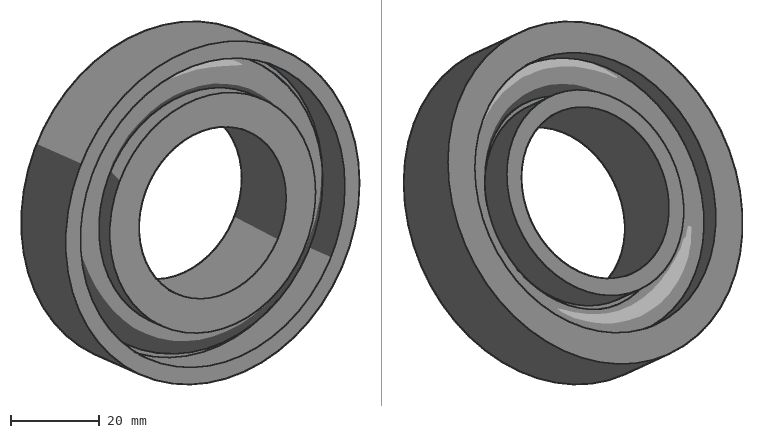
import cadquery as cq

width = 18.0
bore_diameter = 40.0
outer_diameter = 80.0

inner_low_shoulder_diameter = 48.0
inner_high_shoulder_diameter = 56.0
outer_high_shoulder_diameter = 65.4
outer_low_shoulder_diameter = 72.0
step_x = 0.0

ball_diameter = 10.0
pitch_diameter = (bore_diameter + outer_diameter) / 2

front_x = -width / 2
back_x = width / 2


def tube(inner_diameter, outside_diameter, start_x, end_x):
    """Coaxial hollow cylinder between two positions along X."""
    return (
        cq.Workplane("YZ", origin=(start_x, 0, 0))
        .circle(outside_diameter / 2)
        .circle(inner_diameter / 2)
        .extrude(end_x - start_x)
    )


def inner_ring():
    low_side = tube(bore_diameter, inner_low_shoulder_diameter, front_x, step_x)
    high_side = tube(bore_diameter, inner_high_shoulder_diameter, step_x, back_x)
    return low_side.union(high_side)


def outer_ring():
    high_side = tube(outer_high_shoulder_diameter, outer_diameter, front_x, step_x)
    low_side = tube(outer_low_shoulder_diameter, outer_diameter, step_x, back_x)
    return high_side.union(low_side)


def ball_torus():
    return (
        cq.Workplane("XY")
        .center(0, pitch_diameter / 2)
        .circle(ball_diameter / 2)
        .revolve(360, (0, -pitch_diameter / 2), (1, -pitch_diameter / 2))
    )


result = inner_ring().union(outer_ring()).union(ball_torus())